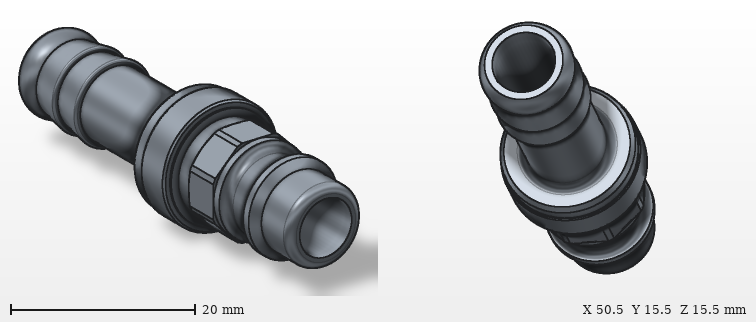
import cadquery as cq
import math

total_length = 50.5
bore_radius = 3.5

bulb_length = 3.5
bulb_center_x = 1.9
bulb_radius = 5.25
bulb_arc_radius = 2.45
barb_count = 2
barb_pitch = 4.0
barb_tip_radius = 5.25
barb_tip_round = 0.3
pipe_radius = 4.55

flange_x = 25.0
flange_length = 2.0
flange_radius = 7.5
flange_chamfer = 0.5
flange_fillet = 1.0
ring_length = 4.25
shank_lip = 0.25
shank_radius = 13.85 / 2

ring_radius = 15.5 / 2
ring_front_chamfer = 0.15
ring_rear_chamfer = 0.25

neck_radius = 11.9 / 2
octagon_sides = 8
octagon_start = 33.4
octagon_end = 38.0
octagon_across_flats = 12.0
octagon_corner_radius = 6.36
octagon_chamfer_length = 0.3

collar_radius = neck_radius
collar_end = 39.0
groove_radius = 9.75 / 2
groove_fillet = collar_radius - groove_radius
ridge_start = 43.5
ridge_length = 1.0
ridge_radius = 6.0
nose_radius = 5.0
nose_round = 1.0

ring_x = flange_x + flange_length
shank_end = ring_x + ring_length + shank_lip


def bulb_surface_radius(x):
    """Radius of the rounded bulb at position x."""
    arc_center_radius = bulb_radius - bulb_arc_radius
    return arc_center_radius + math.sqrt(bulb_arc_radius ** 2 - (x - bulb_center_x) ** 2)


def revolve_about_x(profile):
    return profile.close().revolve(360, (0, 0, 0), (1, 0, 0))


def make_turned_body():
    """Revolve the whole outer outline except the wrench section."""
    barb_root_radius = bulb_surface_radius(bulb_length)
    profile = (
        cq.Workplane("XY")
        .moveTo(0, bore_radius)
        .lineTo(0, bulb_surface_radius(0))
        .threePointArc((bulb_center_x, bulb_radius), (bulb_length, barb_root_radius))
    )

    for index in range(barb_count):
        shoulder_x = bulb_length + (index + 1) * barb_pitch
        is_last = index == barb_count - 1
        foot_radius = pipe_radius if is_last else barb_root_radius
        profile = (
            profile.lineTo(shoulder_x - barb_tip_round, barb_tip_radius)
            .radiusArc((shoulder_x, barb_tip_radius - barb_tip_round), barb_tip_round)
            .lineTo(shoulder_x, foot_radius)
        )

    profile = (
        profile.lineTo(flange_x - flange_fillet, pipe_radius)
        .radiusArc((flange_x, pipe_radius + flange_fillet), -flange_fillet)
        .lineTo(flange_x, flange_radius - flange_chamfer)
        .lineTo(flange_x + flange_chamfer, flange_radius)
        .lineTo(ring_x, flange_radius)
        .lineTo(ring_x, shank_radius)
        .lineTo(shank_end, shank_radius)
        .lineTo(shank_end, neck_radius)
    )

    ridge_end = ridge_start + ridge_length
    profile = (
        profile.lineTo(collar_end, collar_radius)
        .radiusArc((collar_end + groove_fillet, groove_radius), -groove_fillet)
        .lineTo(ridge_start - groove_fillet, groove_radius)
        .radiusArc((ridge_start, groove_radius + groove_fillet), -groove_fillet)
        .lineTo(ridge_start, ridge_radius)
        .lineTo(ridge_end, ridge_radius)
        .lineTo(ridge_end + ridge_radius - nose_radius, nose_radius)
        .lineTo(total_length - nose_round, nose_radius)
        .radiusArc((total_length, nose_radius - nose_round), nose_round)
        .lineTo(total_length, bore_radius)
    )
    return revolve_about_x(profile)


def make_octagon():
    """Octagonal prism with turned corners and a chamfered left end."""
    across_corners = octagon_across_flats / math.cos(math.pi / octagon_sides)
    prism = (
        cq.Workplane("YZ", origin=(octagon_start, 0, 0))
        .transformed(rotate=(0, 0, 180 / octagon_sides))
        .polygon(octagon_sides, across_corners)
        .extrude(octagon_end - octagon_start)
    )
    turned_corners = revolve_about_x(
        cq.Workplane("XY")
        .moveTo(octagon_start, 0)
        .lineTo(octagon_start, neck_radius)
        .lineTo(octagon_start + octagon_chamfer_length, octagon_corner_radius)
        .lineTo(octagon_end, octagon_corner_radius)
        .lineTo(octagon_end, 0)
    )
    bore = cq.Workplane("YZ", origin=(octagon_start, 0, 0)).circle(bore_radius).extrude(total_length)
    return prism.intersect(turned_corners).cut(bore)


def make_ring():
    """Ring seated on the shank against the flange."""
    ring_end = ring_x + ring_length
    return revolve_about_x(
        cq.Workplane("XY")
        .moveTo(ring_x, shank_radius)
        .lineTo(ring_x, ring_radius - ring_front_chamfer)
        .lineTo(ring_x + ring_front_chamfer, ring_radius)
        .lineTo(ring_end - ring_rear_chamfer, ring_radius)
        .lineTo(ring_end, ring_radius - ring_rear_chamfer)
        .lineTo(ring_end, shank_radius)
    )


nipple = make_turned_body().union(make_octagon())
ring = make_ring()

result = cq.Compound.makeCompound([nipple.val(), ring.val()])